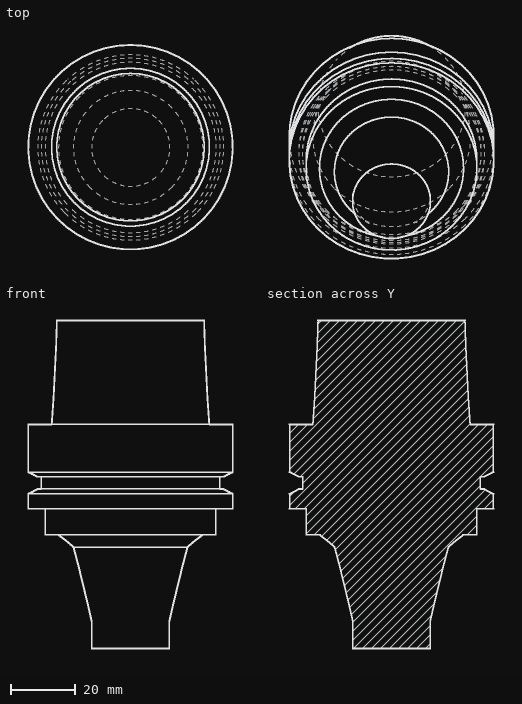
import cadquery as cq

taper_top_z = 32.0
flange_bottom_z = -26.0
collar_bottom_z = -34.0
shoulder_bottom_z = -37.7
neck_bottom_z = -60.5
nose_bottom_z = -69.0

groove_center_z = -18.0
groove_mouth_width = 6.7
groove_floor_width = 3.7

taper_base_diameter = 48.6
taper_ratio = 0.1
flange_diameter = 63.0
groove_wall_end_diameter = 57.2
groove_floor_diameter = 55.0
collar_diameter = 52.6
shoulder_top_diameter = 44.4
neck_top_diameter = 35.2
nose_diameter = 24.0

taper_top_diameter = taper_base_diameter - taper_ratio * taper_top_z


def frustum(top_diameter, top_z, bottom_diameter, bottom_z):
    """Solid of revolution about Z with a straight side between two heights."""
    return (
        cq.Workplane("YZ")
        .moveTo(0, bottom_z)
        .lineTo(bottom_diameter / 2, bottom_z)
        .lineTo(top_diameter / 2, top_z)
        .lineTo(0, top_z)
        .close()
        .revolve(360, (0, 0, 0), (0, 1, 0))
    )


def cylinder(diameter, top_z, bottom_z):
    """Round section of constant diameter."""
    return frustum(diameter, top_z, diameter, bottom_z)


def grooved_flange():
    """Flange with a groove: sloped walls, a small ledge on each side and a flat floor."""
    mouth_top_z = groove_center_z + groove_mouth_width / 2
    mouth_bottom_z = groove_center_z - groove_mouth_width / 2
    floor_top_z = groove_center_z + groove_floor_width / 2
    floor_bottom_z = groove_center_z - groove_floor_width / 2

    upper_rim = cylinder(flange_diameter, 0, mouth_top_z)
    upper_wall = frustum(flange_diameter, mouth_top_z, groove_wall_end_diameter, floor_top_z)
    floor = cylinder(groove_floor_diameter, floor_top_z, floor_bottom_z)
    lower_wall = frustum(groove_wall_end_diameter, floor_bottom_z, flange_diameter, mouth_bottom_z)
    lower_rim = cylinder(flange_diameter, mouth_bottom_z, flange_bottom_z)
    return upper_rim.union(upper_wall).union(floor).union(lower_wall).union(lower_rim)


taper = frustum(taper_top_diameter, taper_top_z, taper_base_diameter, 0)
collar = cylinder(collar_diameter, flange_bottom_z, collar_bottom_z)
shoulder = frustum(shoulder_top_diameter, collar_bottom_z, neck_top_diameter, shoulder_bottom_z)
neck = frustum(neck_top_diameter, shoulder_bottom_z, nose_diameter, neck_bottom_z)
nose = cylinder(nose_diameter, neck_bottom_z, nose_bottom_z)

result = taper.union(grooved_flange()).union(collar).union(shoulder).union(neck).union(nose)